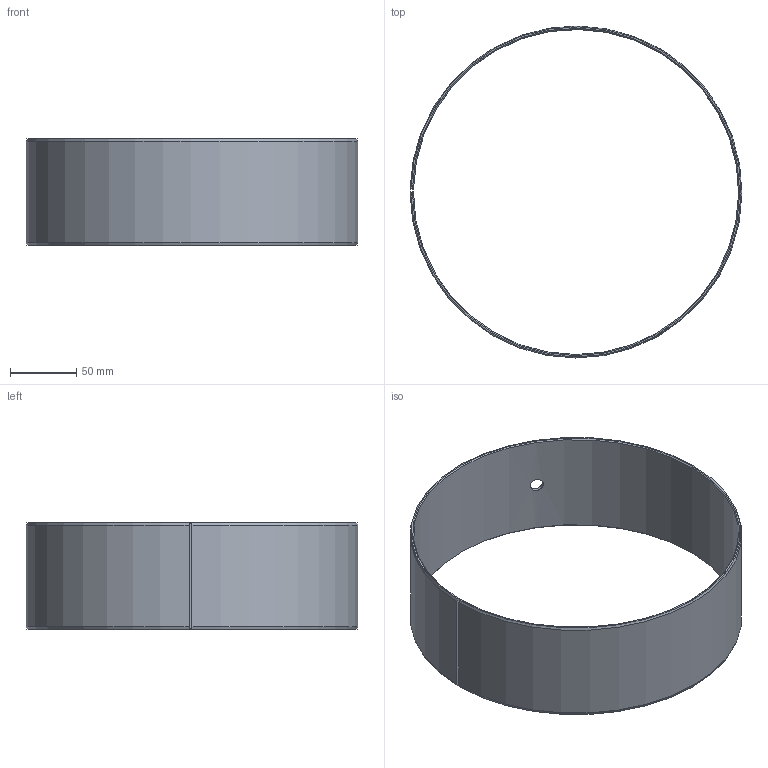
import cadquery as cq
import math


outer_diameter = 250.0
wall_thickness = 2.5
height = 80.0

outer_bevel_height = 1.8
outer_bevel_angle = 20.0
outer_bevel_width = outer_bevel_height * math.tan(math.radians(outer_bevel_angle))
inner_bevel = 0.8

slit_angle = 1.0
band_start_angle = 180.0
band_sweep = 360.0 - slit_angle

hole_diameter = 10.0
hole_angle = 59.0
hole_height = height / 2

outer_radius = outer_diameter / 2
inner_radius = outer_radius - wall_thickness


def make_band():
    """Revolve the wall section about Z, stopping short of a full turn to leave the slit."""
    outer_rim_radius = outer_radius - outer_bevel_width
    inner_rim_radius = inner_radius + inner_bevel
    section = (
        cq.Workplane("XZ")
        .moveTo(inner_rim_radius, 0)
        .lineTo(outer_rim_radius, 0)
        .lineTo(outer_radius, outer_bevel_height)
        .lineTo(outer_radius, height - outer_bevel_height)
        .lineTo(outer_rim_radius, height)
        .lineTo(inner_rim_radius, height)
        .lineTo(inner_radius, height - inner_bevel)
        .lineTo(inner_radius, inner_bevel)
        .close()
    )
    band = section.revolve(band_sweep, (0, 0, 0), (0, 1, 0))
    return band.rotate((0, 0, 0), (0, 0, 1), band_start_angle)


def make_hole():
    """Radial cylinder that crosses the wall once, at the hole angle."""
    return (
        cq.Workplane("YZ")
        .center(0, hole_height)
        .circle(hole_diameter / 2)
        .extrude(outer_diameter)
        .rotate((0, 0, 0), (0, 0, 1), hole_angle)
    )


result = make_band().cut(make_hole())